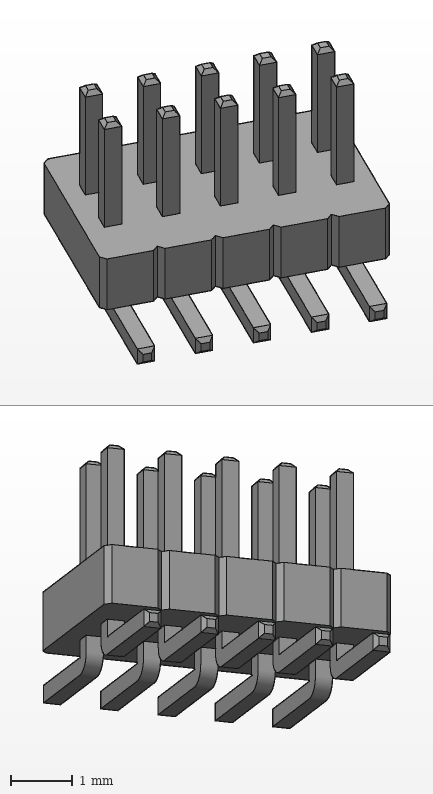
import cadquery as cq

rows = 5
pitch = 1.0

body_width = 3.1
body_height = 1.0
corner_chamfer = 0.1

pin_size = 0.3
pin_above_body = 2.0
pin_below_body = 0.6
foot_reach = 2.45
bend_radius = pin_size
tip_chamfer = 0.075

pin_x = pitch / 2
pin_inner_x = pin_x - pin_size / 2
pin_outer_x = pin_x + pin_size / 2
foot_bottom = -pin_below_body
foot_top = foot_bottom + pin_size
pin_top = body_height + pin_above_body


def row_positions():
    """Y of every pin row, centred on the origin."""
    return [(row - (rows - 1) / 2) * pitch for row in range(rows)]


def make_body():
    """Row of chamfered blocks; neighbouring chamfers form the V notches."""
    block = (
        cq.Workplane("XY")
        .box(body_width, pitch, body_height, centered=(True, True, False))
        .edges("|Z")
        .chamfer(corner_chamfer)
    )
    body = cq.Workplane("XY")
    for y in row_positions():
        body = body.union(block.translate((0, y, 0)))
    return body


def make_pin():
    """L-shaped pin at Y = 0 with its foot toward +X, both ends tapered."""
    pin = (
        cq.Workplane("XZ")
        .moveTo(pin_inner_x, pin_top)
        .lineTo(pin_outer_x, pin_top)
        .lineTo(pin_outer_x, foot_top)
        .lineTo(foot_reach, foot_top)
        .lineTo(foot_reach, foot_bottom)
        .lineTo(pin_inner_x + bend_radius, foot_bottom)
        .radiusArc((pin_inner_x, foot_bottom + bend_radius), bend_radius)
        .close()
        .extrude(pin_size / 2, both=True)
    )
    pin = pin.faces(">Z").chamfer(tip_chamfer)
    return pin.faces(">X").chamfer(tip_chamfer)


result = make_body()
right_pin = make_pin()
left_pin = right_pin.mirror("YZ")
for y in row_positions():
    for pin in (right_pin, left_pin):
        result = result.union(pin.translate((0, y, 0)))